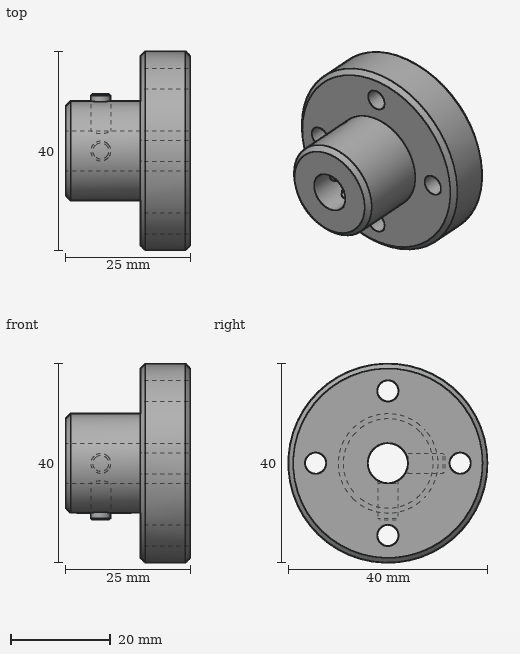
import cadquery as cq

flange_diameter = 40.0
flange_thickness = 10.0
hub_diameter = flange_diameter / 2
hub_length = 15.0
bore_diameter = 8.0
edge_chamfer = 1.0
total_length = hub_length + flange_thickness

bolt_hole_count = 4
bolt_hole_diameter = 4.2
bolt_circle_diameter = 29.0

screw_diameter = 4.0
screw_x = 7.0
screw_outer_radius = 11.4
screw_chamfer = 0.4
screw_angles = (0, -90)

bore_radius = bore_diameter / 2


def x_cylinder(diameter, start, length):
    """Cylinder along X beginning at X = start."""
    return cq.Workplane("YZ", origin=(start, 0, 0)).circle(diameter / 2).extrude(length)


def radial_cylinder(inner_radius, angle):
    """Screw-sized cylinder from inner_radius to the screw's outer end, turned about X."""
    return place_at_angle(
        cq.Workplane("XZ", origin=(screw_x, inner_radius, 0))
        .circle(screw_diameter / 2)
        .extrude(inner_radius - screw_outer_radius),
        angle,
    )


def place_at_angle(body, angle):
    """Turn a body about the X axis."""
    return body.rotate((0, 0, 0), (1, 0, 0), angle)


def make_housing():
    """Chamfered flange and hub with bore, bolt holes and screw holes."""
    hub = x_cylinder(hub_diameter, 0, total_length).faces("<X").edges().chamfer(edge_chamfer)
    flange = x_cylinder(flange_diameter, hub_length, flange_thickness).edges().chamfer(edge_chamfer)
    housing = hub.union(flange).cut(x_cylinder(bore_diameter, 0, total_length))

    bolt_hole = x_cylinder(bolt_hole_diameter, hub_length, flange_thickness)
    bolt_hole = bolt_hole.translate((0, bolt_circle_diameter / 2, 0))
    for index in range(bolt_hole_count):
        housing = housing.cut(place_at_angle(bolt_hole, index * 360 / bolt_hole_count))

    for angle in screw_angles:
        housing = housing.cut(radial_cylinder(0, angle))
    return housing


def make_set_screw(angle):
    """Set screw with a chamfered outer end, its flat inner end tangent to the bore."""
    screw = radial_cylinder(bore_radius, 0).faces(">Y").edges().chamfer(screw_chamfer)
    return place_at_angle(screw, angle)


housing = make_housing()
set_screws = [make_set_screw(angle) for angle in screw_angles]

result = cq.Compound.makeCompound([housing.val(), *[screw.val() for screw in set_screws]])